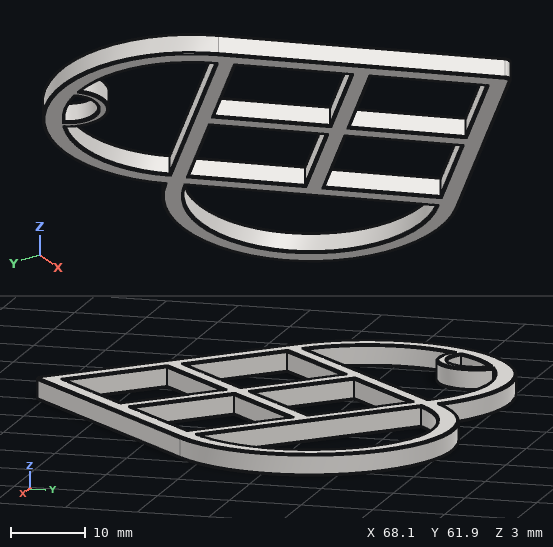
import cadquery as cq
import math

overall_width = 68.1
thickness = 3.0
rim_width = 2.85
rib_width = 2.65
tip_radius = 0.9
edge_chamfer = 0.2
lattice_setback = 0.15
loop_outer_radius = 5.45
loop_inner_radius = 4.0
loop_offset = 16.8

side = overall_width / (1 + math.sqrt(0.5))
lobe_radius = side / 2
lobe_inner_radius = lobe_radius - rim_width
window = (side - rim_width - 2 * rib_width - lattice_setback) / 2
lattice_edge = side - lattice_setback
lobe_centers = [(lobe_radius, side), (side, lobe_radius)]


def disc(center, radius):
    return cq.Workplane("XY").center(*center).circle(radius).extrude(thickness)


def block(x, y, length, width):
    return cq.Workplane("XY").box(length, width, thickness, centered=False).translate((x, y, 0))


def heart_blank():
    lobe_reach = side + lobe_radius
    outline = (
        cq.Workplane("XY")
        .lineTo(side, 0)
        .threePointArc((lobe_reach, lobe_radius), (side, side))
        .threePointArc((lobe_radius, lobe_reach), (0, side))
        .close()
    )
    blank = outline.extrude(thickness)
    return blank.edges(cq.NearestToPointSelector((0, 0, thickness / 2))).fillet(tip_radius)


def lattice_windows():
    starts = [rim_width, rim_width + window + rib_width]
    cutters = cq.Workplane("XY")
    for x in starts:
        for y in starts:
            cutters = cutters.add(block(x, y, window, window))
    return cutters.combine()


def lobe_openings():
    left_center, right_center = lobe_centers
    left = disc(left_center, lobe_inner_radius).intersect(block(0, lattice_edge, side, side))
    right = disc(right_center, lobe_inner_radius).intersect(block(lattice_edge, 0, side, side))
    return left.union(right)


def hanging_loop():
    lobe_center = lobe_centers[0]
    loop_center = (lobe_center[0], lobe_center[1] + loop_offset)
    ring = disc(loop_center, loop_outer_radius).cut(disc(loop_center, loop_inner_radius))
    ring = ring.faces("<Z or >Z").chamfer(edge_chamfer)
    return ring.intersect(disc(lobe_center, lobe_radius - rim_width / 2))


heart = heart_blank().cut(lattice_windows()).cut(lobe_openings())
heart = heart.faces("<Z or >Z").chamfer(edge_chamfer).union(hanging_loop())
result = heart.rotate((0, 0, 0), (0, 0, 1), 45)